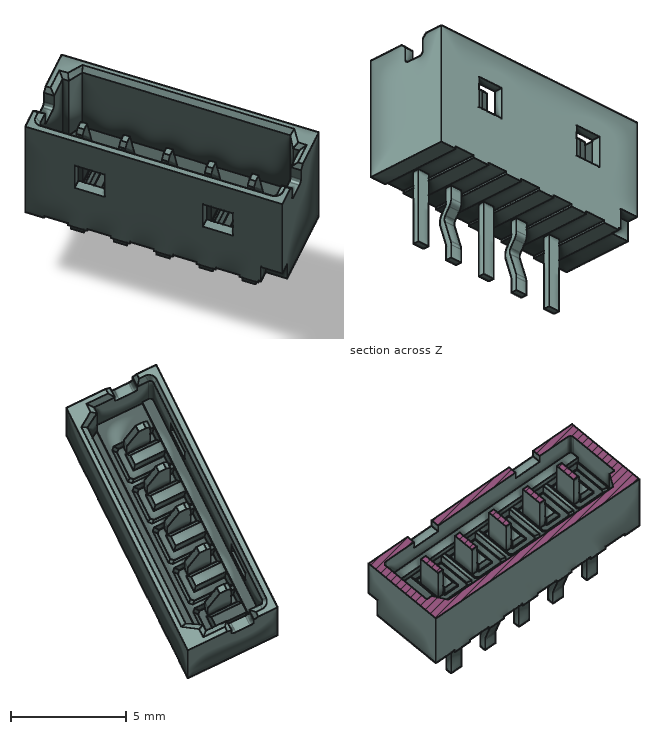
import cadquery as cq
import math

LENGTH = 12.0
WIDTH = 4.35
HEIGHT = 5.85
X_END = LENGTH / 2
Y_FRONT = -WIDTH / 2
Y_BACK = WIDTH / 2

PIN_COUNT = 5
PITCH = 2.0
TAIL_OFFSET = -0.56
BLADE_XS = [(i - (PIN_COUNT - 1) / 2) * PITCH for i in range(PIN_COUNT)]
TAIL_XS = [x + TAIL_OFFSET for x in BLADE_XS]

FLOOR_Z = 1.67
LEDGE_Z = 1.95
END_WALL = 0.48
FRONT_WALL = 0.44
BACK_WALL = 0.46
FRONT_LEDGE_Y = Y_FRONT + 0.91
BACK_LEDGE_Y = Y_FRONT + 3.24
BAY_MOUTH_INSET = 0.29
BAY_BACK_INSET = 0.67
CORNER_RADIUS = 0.17
RIM_DEPTH = 0.2
RIM_SIDE = 0.25
RIM_FRONT = 0.17
MOUTH_SHIFT = 0.14
BAY_BACK_SHIFT = 0.09

NOTCH_Y = Y_FRONT + 1.69
NOTCH_WIDTH = 1.08
NOTCH_DEPTH = 1.0
NOTCH_CHAMFER = 0.21
NOTCH_RADIUS = 0.19

WINDOW_X = 2.99
WINDOW_WIDTH = 1.4
WINDOW_BOTTOM = 2.68
WINDOW_HEIGHT = 1.52

FOOT_HEIGHT = 0.12
FOOT_GAP = 1.1
END_RELIEF = 1.12
MARK_LENGTH = 1.0
MARK_TOP = 1.11
MARK_DEPTH = 0.57

TRENCH_WIDTH = 1.82
TRENCH_BACK_Y = Y_FRONT + 3.0
TRENCH_SLOPE_DEPTH = 0.16
TRENCH_STRAIGHT_DEPTH = 0.08
TRENCH_DRAFT = 0.16
TRENCH_CORNER = 0.13
ISLAND_WIDTH = 0.47
ISLAND_BACK_Y = Y_FRONT + 2.39

BLADE_THICKNESS = 0.3
BLADE_FRONT_Y = Y_FRONT + 1.35
BLADE_BACK_Y = Y_FRONT + 2.47
TIP_FRONT_Y = Y_FRONT + 1.55
TIP_BACK_Y = Y_FRONT + 1.9
TIP_Z = HEIGHT - NOTCH_DEPTH
TIP_CHAMFER = TIP_FRONT_Y - BLADE_FRONT_Y
SLOPE_HEIGHT = 1.85
EMBED_Z = 0.6

TAIL_WIDTH = 0.62
TAIL_THICKNESS = 0.32
TAIL_FRONT_Y = Y_FRONT + 2.545
TAIL_LENGTH = 3.5
KINK_TOP_Z = -0.72
KINK_PEAK_Z = -1.36
KINK_BOTTOM_Z = -2.74
KINK_SHIFT = 0.45
BEND_INNER_RADIUS = 0.32
BEND_OUTER_RADIUS = BEND_INNER_RADIUS + TAIL_THICKNESS


def box(x_min, x_max, y_min, y_max, z_min, z_max):
    size = (x_max - x_min, y_max - y_min, z_max - z_min)
    return cq.Workplane("XY").box(*size, centered=False).translate((x_min, y_min, z_min))


def cavity_outline(level, side=0, front=0, mouth_shift=0, bay_shift=0):
    """Cavity outline at a level, grown outward by the given bevel widths and corner shifts."""
    x_end = X_END - END_WALL + side
    x_mouth = X_END - END_WALL - BAY_MOUTH_INSET + mouth_shift
    x_bay = X_END - END_WALL - BAY_BACK_INSET + bay_shift
    y_front = Y_FRONT + FRONT_WALL - front
    y_shoulder = BACK_LEDGE_Y + side
    y_back = Y_BACK - BACK_WALL + side
    radius = CORNER_RADIUS + (side + front) / 2
    arc_mid = radius * (1 - math.cos(math.pi / 4))
    return (
        cq.Workplane("XY", origin=(0, 0, level))
        .moveTo(-x_end + radius, y_front)
        .lineTo(x_end - radius, y_front)
        .threePointArc((x_end - arc_mid, y_front + arc_mid), (x_end, y_front + radius))
        .lineTo(x_end, y_shoulder)
        .lineTo(x_mouth, y_shoulder)
        .lineTo(x_bay, y_back)
        .lineTo(-x_bay, y_back)
        .lineTo(-x_mouth, y_shoulder)
        .lineTo(-x_end, y_shoulder)
        .lineTo(-x_end, y_front + radius)
        .threePointArc((-x_end + arc_mid, y_front + arc_mid), (-x_end + radius, y_front))
        .close()
    )


def make_cavity():
    rim_z = HEIGHT - RIM_DEPTH
    upper = cavity_outline(LEDGE_Z).extrude(rim_z - LEDGE_Z)
    lower_outline = cavity_outline(rim_z).val()
    upper_outline = cavity_outline(HEIGHT, RIM_SIDE, RIM_FRONT, MOUTH_SHIFT, BAY_BACK_SHIFT).val()
    rim = cq.Workplane(cq.Solid.makeLoft([lower_outline, upper_outline], True))
    x_end = X_END - END_WALL
    well = box(-x_end, x_end, FRONT_LEDGE_Y, BACK_LEDGE_Y, FLOOR_Z, LEDGE_Z)
    return upper.union(rim).union(well)


def make_notch():
    """Bevelled, round-bottomed slot running through both end walls."""
    half = NOTCH_WIDTH / 2
    bottom = HEIGHT - NOTCH_DEPTH
    slot = box(-X_END, X_END, NOTCH_Y - half, NOTCH_Y + half, bottom, HEIGHT)
    slot = slot.edges("|X and <Z").fillet(NOTCH_RADIUS)
    bevel = (
        cq.Workplane("YZ")
        .polyline([
            (NOTCH_Y - half - NOTCH_CHAMFER, HEIGHT),
            (NOTCH_Y + half + NOTCH_CHAMFER, HEIGHT),
            (NOTCH_Y + half, HEIGHT - NOTCH_CHAMFER),
            (NOTCH_Y - half, HEIGHT - NOTCH_CHAMFER),
        ])
        .close()
        .extrude(X_END, both=True)
    )
    return slot.union(bevel)


def make_trench(x):
    """Tapered pocket open toward the front ledge, around a tapered island."""
    slope_z = FLOOR_Z - TRENCH_SLOPE_DEPTH
    bottom_z = slope_z - TRENCH_STRAIGHT_DEPTH

    def pocket_outline(level, inset):
        half = TRENCH_WIDTH / 2 - inset
        back = TRENCH_BACK_Y - inset
        front = FRONT_LEDGE_Y + inset
        return (
            cq.Workplane("XY", origin=(x, 0, level))
            .polyline([
                (-half, front),
                (half, front),
                (half, back - TRENCH_CORNER),
                (half - TRENCH_CORNER, back),
                (-half + TRENCH_CORNER, back),
                (-half, back - TRENCH_CORNER),
            ])
            .close()
            .val()
        )

    def island_outline(level, growth):
        half = ISLAND_WIDTH / 2 + growth
        depth = ISLAND_BACK_Y + growth - FRONT_LEDGE_Y
        return (
            cq.Workplane("XY", origin=(x, FRONT_LEDGE_Y + depth / 2, level))
            .rect(2 * half, depth)
            .val()
        )

    def walled_block(outline):
        sloping = cq.Solid.makeLoft([outline(slope_z, TRENCH_DRAFT), outline(FLOOR_Z, 0)], True)
        upright = cq.Solid.makeLoft([outline(bottom_z, TRENCH_DRAFT), outline(slope_z, TRENCH_DRAFT)], True)
        return cq.Workplane(sloping).union(cq.Workplane(upright))

    return walled_block(pocket_outline).cut(walled_block(island_outline))


def make_housing():
    body = box(-X_END, X_END, Y_FRONT, Y_BACK, 0, HEIGHT)
    body = body.cut(make_cavity()).cut(make_notch())
    for x in (-WINDOW_X, WINDOW_X):
        body = body.cut(box(
            x - WINDOW_WIDTH / 2, x + WINDOW_WIDTH / 2,
            Y_FRONT, Y_FRONT + FRONT_WALL,
            WINDOW_BOTTOM, WINDOW_BOTTOM + WINDOW_HEIGHT,
        ))
    for x in TAIL_XS:
        body = body.cut(make_trench(x))
        body = body.cut(box(x - FOOT_GAP / 2, x + FOOT_GAP / 2, Y_FRONT, Y_BACK, 0, FOOT_HEIGHT))
    body = body.cut(box(X_END - END_RELIEF, X_END, Y_FRONT, Y_BACK, 0, FOOT_HEIGHT))
    return body.cut(box(X_END - MARK_LENGTH, X_END, Y_FRONT, Y_FRONT + MARK_DEPTH, 0, MARK_TOP))


def make_blade(x):
    """Upright contact with a bevelled front edge and a long sloping back."""
    return (
        cq.Workplane("YZ", origin=(x, 0, 0))
        .polyline([
            (BLADE_FRONT_Y, EMBED_Z),
            (BLADE_FRONT_Y, TIP_Z - TIP_CHAMFER),
            (TIP_FRONT_Y, TIP_Z),
            (TIP_BACK_Y, TIP_Z),
            (BLADE_BACK_Y, TIP_Z - SLOPE_HEIGHT),
            (BLADE_BACK_Y, EMBED_Z),
        ])
        .close()
        .extrude(BLADE_THICKNESS / 2, both=True)
    )


def make_straight_tail(x):
    return box(
        x - TAIL_WIDTH / 2, x + TAIL_WIDTH / 2,
        TAIL_FRONT_Y, TAIL_FRONT_Y + TAIL_THICKNESS,
        -TAIL_LENGTH, EMBED_Z,
    )


def make_kinked_tail(x):
    """Retention tail bowed toward the back between two straight runs."""
    front = [
        (TAIL_FRONT_Y, EMBED_Z),
        (TAIL_FRONT_Y, KINK_TOP_Z),
        (TAIL_FRONT_Y + KINK_SHIFT, KINK_PEAK_Z),
        (TAIL_FRONT_Y, KINK_BOTTOM_Z),
        (TAIL_FRONT_Y, -TAIL_LENGTH),
    ]
    back = [(y + TAIL_THICKNESS, z) for y, z in reversed(front)]
    tail = (
        cq.Workplane("YZ", origin=(x, 0, 0))
        .polyline(front + back)
        .close()
        .extrude(TAIL_WIDTH / 2, both=True)
    )

    def round_bend(solid, y, z, radius):
        return solid.edges(cq.NearestToPointSelector((x, y, z))).fillet(radius)

    back_y = TAIL_FRONT_Y + TAIL_THICKNESS
    for z in (KINK_TOP_Z, KINK_BOTTOM_Z):
        tail = round_bend(tail, TAIL_FRONT_Y, z, BEND_OUTER_RADIUS)
        tail = round_bend(tail, back_y, z, BEND_INNER_RADIUS)
    tail = round_bend(tail, TAIL_FRONT_Y + KINK_SHIFT, KINK_PEAK_Z, BEND_INNER_RADIUS)
    return round_bend(tail, back_y + KINK_SHIFT, KINK_PEAK_Z, BEND_OUTER_RADIUS)


result = make_housing()
for index, (blade_x, tail_x) in enumerate(zip(BLADE_XS, TAIL_XS)):
    make_tail = make_kinked_tail if index % 2 else make_straight_tail
    result = result.union(make_blade(blade_x)).union(make_tail(tail_x))